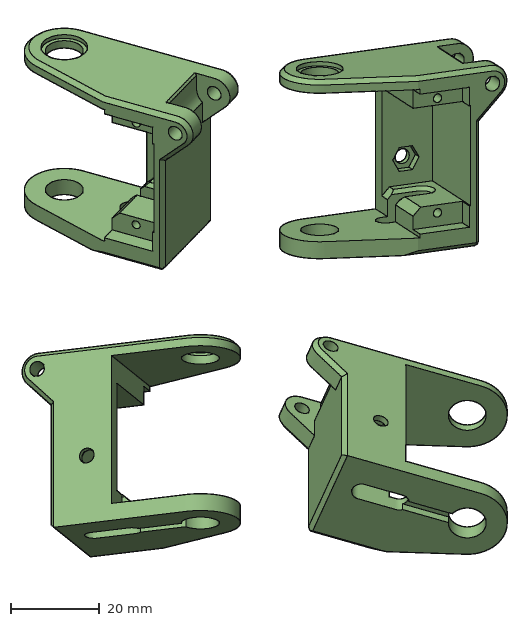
import cadquery as cq
import math

height = 42.0
pivot_radius = 9.0
total_length = 48.95
total_width = 24.0
front_y = pivot_radius - total_width
back_y = pivot_radius
edge_chamfer = 1.05

housing_left = 17.95
housing_right = 32.95
taper_end_x = 17.55
lower_arm = 4.0
upper_arm = 3.0
pivot_bore = 8.5
pivot_counterbore = 10.5
counterbore_depth = 1.0

cavity_right = 30.5
cavity_back_y = 5.55
cavity_bottom = 9.95
cavity_top = 33.5
step_y = -11.2
step_right = 30.15
step_bottom = 4.9
step_top = 37.9
block_chamfer = 1.9

slot_width = 4.35
slot_y = 0.35
slot_start_x = 16.4
slot_end_x = 25.45
slot_chamfer = 0.9
channel_width = 2.65
channel_depth = 2.05

screw_x = 24.05
screw_bore = 2.0
screw_depth = 5.9
screw_heights = (8.05, 35.05)
nut_x = 23.95
nut_z = 16.05
nut_flats = 5.65
nut_depth = 1.95
bolt_bore = 3.5

lug_radius = 4.0
lug_x = total_length - pivot_radius - lug_radius
lug_z = height - lug_radius
lug_root_x = 30.85
lug_width = 5.05
clearance_radius = 4.45
relief_chamfer = 0.5


def box(x0, x1, y0, y1, z0, z1):
    return cq.Workplane("XY").box(x1 - x0, y1 - y0, z1 - z0, centered=False).translate((x0, y0, z0))


def prism_along_y(sketch, y0, y1):
    """Extrude a closed XZ outline from y0 to y1."""
    return sketch.extrude(y0 - y1).translate((0, y0, 0))


def fork():
    corner_distance = math.hypot(taper_end_x, front_y)
    corner_angle = math.atan2(front_y, taper_end_x)
    tangent_angle = corner_angle - math.acos(pivot_radius / corner_distance)
    tangent_point = (pivot_radius * math.cos(tangent_angle), pivot_radius * math.sin(tangent_angle))
    body = (
        cq.Workplane("XY")
        .moveTo(0, back_y)
        .threePointArc((-pivot_radius, 0), tangent_point)
        .lineTo(taper_end_x, front_y)
        .lineTo(housing_right, front_y)
        .lineTo(housing_right, back_y)
        .close()
        .extrude(height)
    )
    body = body.edges("|Z and >X").chamfer(edge_chamfer)
    top_rim = body.faces(">Z").edges("not >X")
    body = top_rim.chamfer(edge_chamfer)
    body = body.faces("<Z").edges(">X").chamfer(edge_chamfer)
    bevel = (
        cq.Workplane("YZ")
        .polyline([(front_y, 0), (front_y + edge_chamfer, 0), (front_y, edge_chamfer)])
        .close()
        .extrude(housing_right)
    )
    gap = box(-pivot_radius, housing_left, front_y, back_y, lower_arm, height - upper_arm)
    return body.cut(bevel).cut(gap)


def cavity():
    main = box(housing_left, cavity_right, front_y, cavity_back_y, cavity_bottom, cavity_top)
    step = box(housing_left, step_right, front_y, step_y, step_bottom, step_top)
    ramp = prism_along_y(
        cq.Workplane("XZ")
        .moveTo(housing_left, cavity_bottom - block_chamfer)
        .lineTo(housing_left + block_chamfer, cavity_bottom)
        .lineTo(housing_left, cavity_bottom)
        .close(),
        front_y,
        cavity_back_y,
    )
    return main.union(step).union(ramp)


def slot_outline(width, z):
    straight = slot_end_x - slot_start_x
    middle_x = (slot_start_x + slot_end_x) / 2
    return cq.Workplane("XY", origin=(middle_x, slot_y, z)).slot2D(straight + width, width)


def cable_passage():
    slot = slot_outline(slot_width, 0).extrude(cavity_bottom)
    flare = slot_outline(slot_width + 2 * slot_chamfer, cavity_bottom).extrude(-slot_chamfer, taper=45)
    channel = box(0, slot_end_x, -channel_width / 2, channel_width / 2, 0, channel_depth)
    return slot.union(flare).union(channel)


def pivot_holes():
    bore = cq.Workplane("XY").circle(pivot_bore / 2).extrude(height)
    counterbore = (
        cq.Workplane("XY", origin=(0, 0, height)).circle(pivot_counterbore / 2).extrude(-counterbore_depth)
    )
    return bore.union(counterbore)


def fastener_holes():
    nut_corners = nut_flats / math.cos(math.pi / 6)
    nut_plane = cq.Workplane("XZ").center(nut_x, nut_z)
    holes = prism_along_y(nut_plane.polygon(6, nut_corners), cavity_back_y, cavity_back_y + nut_depth)
    bolt_plane = cq.Workplane("XZ").center(nut_x, nut_z)
    holes = holes.union(prism_along_y(bolt_plane.circle(bolt_bore / 2), cavity_back_y, back_y))
    for z in screw_heights:
        screw_plane = cq.Workplane("XZ").center(screw_x, z)
        holes = holes.union(prism_along_y(screw_plane.circle(screw_bore / 2), step_y, step_y + screw_depth))
    return holes


def hinge_relief():
    """Room between the lugs for the mating hinge knuckle."""
    y0 = front_y + lug_width
    y1 = back_y - lug_width
    relief_x = lug_x - clearance_radius
    above = box(relief_x, lug_x, y0, y1, lug_z, height)
    knuckle = prism_along_y(cq.Workplane("XZ").center(lug_x, lug_z).circle(clearance_radius), y0, y1)
    bevel = prism_along_y(
        cq.Workplane("XZ")
        .moveTo(relief_x - relief_chamfer, height)
        .lineTo(relief_x, height)
        .lineTo(relief_x, height - relief_chamfer)
        .close(),
        y0,
        y1,
    )
    return above.union(knuckle).union(bevel)


def lug(y0, outer_side):
    diagonal = lug_radius * math.sqrt(0.5)
    tangent_x = lug_x + diagonal
    tangent_z = lug_z - diagonal
    outline = (
        cq.Workplane("XZ")
        .moveTo(lug_root_x, height)
        .lineTo(lug_x, height)
        .threePointArc((lug_x + lug_radius, lug_z), (tangent_x, tangent_z))
        .lineTo(lug_root_x, tangent_z - (tangent_x - lug_root_x))
        .close()
    )
    body = prism_along_y(outline, y0, y0 + lug_width)
    body = body.faces(outer_side).edges("not <X").chamfer(edge_chamfer)
    pin = prism_along_y(cq.Workplane("XZ").center(lug_x, lug_z).circle(bolt_bore / 2), y0, y0 + lug_width)
    return body.cut(pin)


result = fork().cut(hinge_relief())
for lug_y, outer_side in ((front_y, "<Y"), (back_y - lug_width, ">Y")):
    result = result.union(lug(lug_y, outer_side))
for cutter in (cavity(), cable_passage(), pivot_holes(), fastener_holes()):
    result = result.cut(cutter)